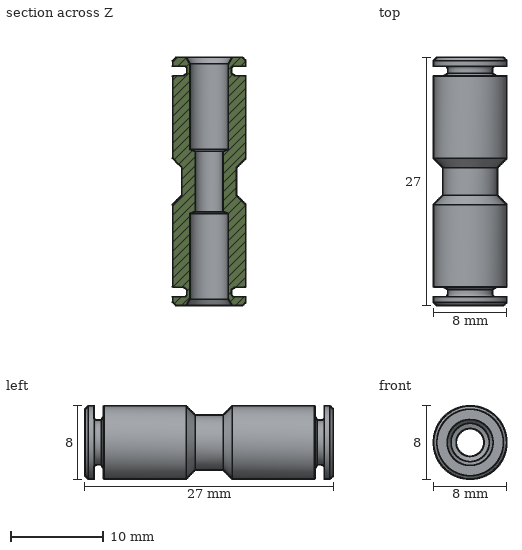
import cadquery as cq
import math

length = 27.0
outer_radius = 8.0 / 2
waist_radius = 6.0 / 2
neck_radius = 4.9 / 2
mouth_radius = 5.0 / 2
tube_bore_radius = 4.15 / 2
through_radius = 3.0 / 2

half_length = length / 2
waist_half_length = 1.5
shoulder_length = outer_radius - waist_radius
collar_thickness = 1.0
collar_chamfer = 0.38
neck_gap = 1.0
neck_cone_length = 0.25
neck_cone_rise = 0.4
neck_flare_length = 0.32
neck_flare_radius = 0.4
body_chamfer = 0.08
mouth_depth = 0.73
tube_bore_depth = 10.0
stop_cone_length = 0.25

shoulder_end = waist_half_length + shoulder_length
collar_inner_face = half_length - collar_thickness
body_end = collar_inner_face - neck_gap
stop_end = half_length - tube_bore_depth


def revolve_about_y(profile):
    return profile.close().revolve(360, (0, 0, 0), (0, 1, 0))


def flare_point(distance):
    """Point on the flare arc, measured along Y from where it leaves the neck tangentially."""
    rise = neck_flare_radius - math.sqrt(neck_flare_radius**2 - distance**2)
    return neck_radius + rise, collar_inner_face - neck_flare_length + distance


def end_body():
    """Solid +Y end: shoulder, body, neck and release collar."""
    profile = (
        cq.Workplane("XY")
        .moveTo(0, waist_half_length)
        .lineTo(waist_radius, waist_half_length)
        .lineTo(outer_radius, shoulder_end)
        .lineTo(outer_radius, body_end - body_chamfer)
        .lineTo(outer_radius - body_chamfer, body_end)
        .lineTo(neck_radius + neck_cone_rise, body_end)
        .lineTo(neck_radius, body_end + neck_cone_length)
        .lineTo(*flare_point(0))
        .threePointArc(flare_point(neck_flare_length / 2), flare_point(neck_flare_length))
        .lineTo(outer_radius, collar_inner_face)
        .lineTo(outer_radius, half_length - collar_chamfer)
        .lineTo(outer_radius - collar_chamfer, half_length)
        .lineTo(0, half_length)
    )
    return revolve_about_y(profile)


def tube_socket():
    """Cavity of the +Y end: conical tube stop, tube bore and lead-in."""
    profile = (
        cq.Workplane("XY")
        .moveTo(0, stop_end - stop_cone_length)
        .lineTo(through_radius, stop_end - stop_cone_length)
        .lineTo(tube_bore_radius, stop_end)
        .lineTo(tube_bore_radius, half_length - mouth_depth)
        .lineTo(mouth_radius, half_length)
        .lineTo(0, half_length)
    )
    return revolve_about_y(profile)


def both_ends(end):
    return end.union(end.mirror("XZ"))


def centred_cylinder(radius, cylinder_length):
    """Cylinder along Y, centred on the origin."""
    start = cq.Workplane("XZ", origin=(0, cylinder_length / 2, 0))
    return start.circle(radius).extrude(cylinder_length)


waist = centred_cylinder(waist_radius, 2 * waist_half_length)
through_hole = centred_cylinder(through_radius, length)

result = (
    waist.union(both_ends(end_body()))
    .cut(both_ends(tube_socket()))
    .cut(through_hole)
)